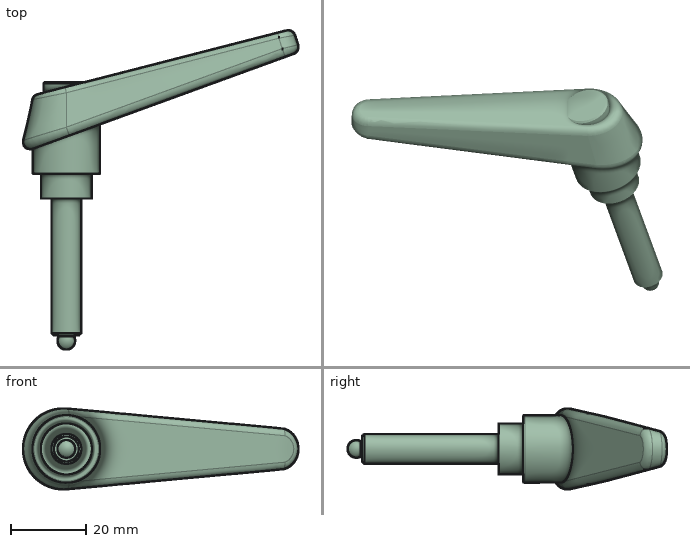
import cadquery as cq
import math


hub_radius = 9.0
hub_rim_fillet = 0.4
boss_radius = 6.1
boss_top = 24.5
boss_rim_chamfer = 0.4

lower_height = 9.95
lower_angle = 20.0
upper_height = 23.2
upper_angle = 14.4
arm_half_width = 11.3
draft_angle = 12.7
tip_narrowing = 0.6
tip_height = 32.3
tip_start = 57.8
tip_end = 62.4
tip_lean_angle = 18.0
arm_fillet = 1.95

collar_radius = 6.8
collar_length = 6.55
shank_radius = 4.0
shank_length = 36.4
shank_chamfer = 0.7
neck_radius = 2.1
ball_radius = 2.4
stud_length = 46.7

blank_bottom = 3.4
blank_top = 41.6
blank_reach = 85.0


def slope(angle):
    return math.tan(math.radians(angle))


def arm_section(y):
    """Outline of the drafted arm blank at height y."""
    hub_half = arm_half_width - slope(draft_angle) * (y - lower_height)
    tip_half = hub_half - tip_narrowing
    lean = slope(tip_lean_angle) * (y - tip_height)
    start = tip_start - lean
    end = tip_end - lean
    hub_front = cq.Vector(0, y, hub_half)
    hub_back = cq.Vector(0, y, -hub_half)
    tip_front = cq.Vector(start, y, tip_half)
    tip_back = cq.Vector(start, y, -tip_half)
    return cq.Wire.assembleEdges([
        cq.Edge.makeThreePointArc(hub_front, cq.Vector(-hub_half, y, 0), hub_back),
        cq.Edge.makeLine(hub_back, tip_back),
        cq.Edge.makeThreePointArc(tip_back, cq.Vector(end, y, 0), tip_front),
        cq.Edge.makeLine(tip_front, hub_front),
    ])


def make_arm():
    """Drafted blank cut to the wedge between the sloping planes, with both rims rounded."""
    sections = [arm_section(blank_bottom), arm_section(blank_top)]
    blank = cq.Workplane(obj=cq.Solid.makeLoft(sections, True))
    lower_drop = slope(lower_angle) * blank_reach
    upper_drop = slope(upper_angle) * blank_reach
    apex_x = (upper_height - lower_height) / (slope(lower_angle) - slope(upper_angle))
    apex_y = lower_height + slope(lower_angle) * apex_x
    wedge = (
        cq.Workplane("XY")
        .moveTo(-blank_reach, lower_height - lower_drop)
        .lineTo(apex_x, apex_y)
        .lineTo(-blank_reach, upper_height - upper_drop)
        .close()
        .extrude(blank_reach / 2, both=True)
    )
    arm = blank.intersect(wedge)
    upper_normal = cq.Vector(-slope(upper_angle), 1, 0)
    lower_normal = cq.Vector(slope(lower_angle), -1, 0)
    for outward in (upper_normal, lower_normal):
        rim = arm.faces(cq.selectors.DirectionMinMaxSelector(outward, True)).edges()
        arm = rim.fillet(arm_fillet)
    return arm


def make_handle():
    """Arm joined to the hub below it and the boss above it."""
    hub = cq.Workplane("XZ").circle(hub_radius).extrude(-(lower_height + upper_height) / 2)
    hub = hub.faces("<Y").edges().fillet(hub_rim_fillet)
    boss = cq.Workplane("XZ").circle(boss_radius).extrude(-boss_top)
    boss = boss.faces(">Y").edges().chamfer(boss_rim_chamfer)
    return make_arm().union(hub).union(boss)


def make_stud():
    """Turned stud: collar against the hub face, shank, and a ball point on a short neck."""
    shank_end = -(collar_length + shank_length)
    ball_center = ball_radius - stud_length
    neck_end = ball_center + math.sqrt(ball_radius**2 - neck_radius**2)
    return (
        cq.Workplane("XY")
        .lineTo(collar_radius, 0)
        .lineTo(collar_radius, -collar_length)
        .lineTo(shank_radius, -collar_length)
        .lineTo(shank_radius, shank_end + shank_chamfer)
        .lineTo(shank_radius - shank_chamfer, shank_end)
        .lineTo(neck_radius, shank_end)
        .lineTo(neck_radius, neck_end)
        .threePointArc((ball_radius, ball_center), (0, -stud_length))
        .close()
        .revolve(360, (0, 0, 0), (0, 1, 0))
    )


handle = make_handle()
stud = make_stud()
result = cq.Compound.makeCompound([handle.val(), stud.val()])